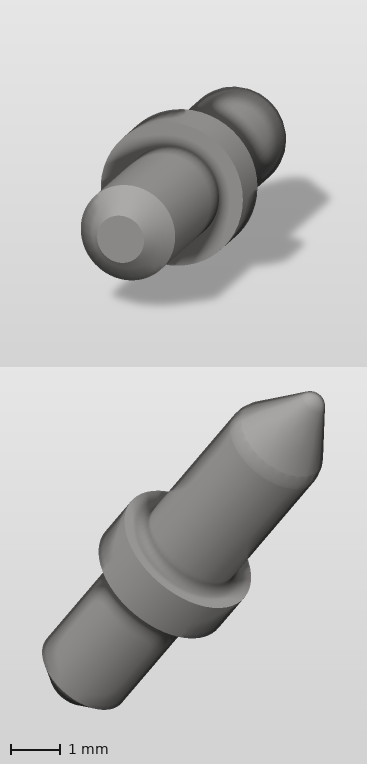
import cadquery as cq
import math

total_length = 9.5
shank_diameter = 1.995
shank_length = 3.5
shank_chamfer = 0.5
flange_diameter = 3.0
flange_thickness = 1.0
guide_diameter = 2.1
flange_fillet = 0.2
shoulder_radius = 0.6
tip_radius = 0.3
cone_half_angle = math.radians(30)

flange_front = flange_thickness
tip_end = total_length - shank_length
guide_radius = guide_diameter / 2


def arc_point(center, radius, angle):
    """Point (radial distance, Y) on an arc, with the angle measured from the radial direction."""
    return (
        center[0] + radius * math.cos(angle),
        center[1] + radius * math.sin(angle),
    )


def make_shank():
    """Rear shank, butted against the flange and chamfered at its free end."""
    shank = cq.Workplane("XZ").circle(shank_diameter / 2).extrude(shank_length)
    return shank.faces("<Y").chamfer(shank_chamfer)


def make_guide_pin():
    """Flange and guide pin, with a cone that blends into the cylinder and a round tip."""
    tip_center = (0, tip_end - tip_radius)
    cone_front = arc_point(tip_center, tip_radius, cone_half_angle)
    tip_middle_angle = (cone_half_angle + math.pi / 2) / 2
    tip_middle = arc_point(tip_center, tip_radius, tip_middle_angle)

    shoulder_center_radius = guide_radius - shoulder_radius
    cone_rear_radius = shoulder_center_radius + shoulder_radius * math.cos(cone_half_angle)
    cone_length = (cone_rear_radius - cone_front[0]) / math.tan(cone_half_angle)
    cone_rear_y = cone_front[1] - cone_length
    shoulder_y = cone_rear_y - shoulder_radius * math.sin(cone_half_angle)
    shoulder_center = (shoulder_center_radius, shoulder_y)
    shoulder_middle = arc_point(shoulder_center, shoulder_radius, cone_half_angle / 2)

    fillet_center = (guide_radius + flange_fillet, flange_front + flange_fillet)
    fillet_middle = arc_point(fillet_center, flange_fillet, math.radians(225))

    profile = (
        cq.Workplane("XY")
        .moveTo(0, 0)
        .lineTo(flange_diameter / 2, 0)
        .lineTo(flange_diameter / 2, flange_front)
        .lineTo(fillet_center[0], flange_front)
        .threePointArc(fillet_middle, (guide_radius, fillet_center[1]))
        .lineTo(guide_radius, shoulder_y)
        .threePointArc(shoulder_middle, (cone_rear_radius, cone_rear_y))
        .lineTo(*cone_front)
        .threePointArc(tip_middle, (0, tip_end))
        .close()
    )
    return profile.revolve(360, (0, 0, 0), (0, 1, 0))


shank = make_shank()
guide_pin = make_guide_pin()

result = cq.Compound.makeCompound([shank.val(), guide_pin.val()])